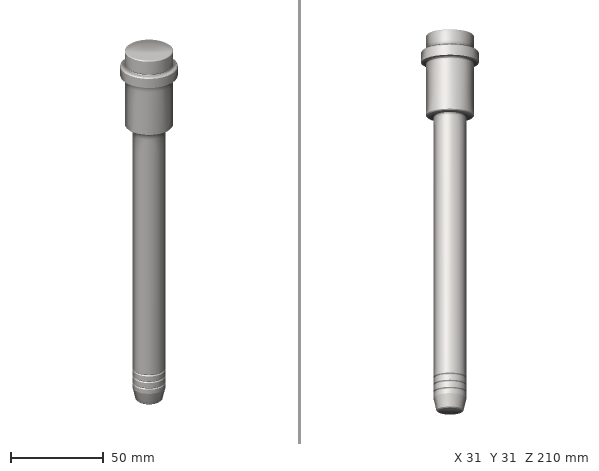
import cadquery as cq
import math

total_length = 210.0
head_diameter = 26.0
flange_diameter = 31.0
shaft_diameter = 18.0

flange_top_depth = 9.0
flange_thickness = 6.0
collar_bottom_depth = 45.0

head_chamfer = 0.4
flange_chamfer = 0.5
collar_chamfer = 0.5

relief_width = 1.0
relief_depth = 0.5

ring_count = 3
ring_pitch = 4.0
ring_width = 1.0
ring_depth = 0.5
lowest_ring_height = 10.0

tip_length = 7.5
tip_angle = 13.5
tip_chamfer = 0.5

flange_top = total_length - flange_top_depth
flange_bottom = flange_top - flange_thickness
collar_bottom = total_length - collar_bottom_depth


def cylinder(diameter, bottom, top):
    """Solid cylinder on the Z axis between two heights."""
    return cq.Workplane("XY").workplane(offset=bottom).circle(diameter / 2).extrude(top - bottom)


def square_groove(diameter, depth, bottom, width):
    """Ring-shaped cutter for a flat-bottomed groove in a cylinder surface."""
    core = cylinder(diameter - 2 * depth, bottom, bottom + width)
    return cylinder(diameter, bottom, bottom + width).cut(core)


def vee_groove(diameter, depth, bottom, width):
    """Ring-shaped cutter for a V-shaped groove in a cylinder surface."""
    radius = diameter / 2
    return (
        cq.Workplane("XZ")
        .moveTo(radius, bottom)
        .lineTo(radius - depth, bottom + width / 2)
        .lineTo(radius, bottom + width)
        .close()
        .revolve(360, (0, 0), (0, 1))
    )


def make_tip():
    """Cone narrowing toward the bottom face, with a chamfered end."""
    end_radius = shaft_diameter / 2 - tip_length * math.tan(math.radians(tip_angle))
    cone = (
        cq.Workplane("XY")
        .circle(end_radius)
        .workplane(offset=tip_length)
        .circle(shaft_diameter / 2)
        .loft()
    )
    return cone.faces("<Z").chamfer(tip_chamfer)


def make_shaft():
    """Long pin with a relief below the collar and ring grooves above the tip."""
    shaft = cylinder(shaft_diameter, tip_length, collar_bottom)
    shaft = shaft.cut(square_groove(shaft_diameter, relief_depth, collar_bottom - relief_width, relief_width))
    for index in range(ring_count):
        ring_bottom = lowest_ring_height + index * ring_pitch
        shaft = shaft.cut(vee_groove(shaft_diameter, ring_depth, ring_bottom, ring_width))
    return shaft


def make_collar():
    """Head and collar in one diameter, with reliefs on both sides of the flange."""
    collar = cylinder(head_diameter, collar_bottom, total_length)
    collar = collar.faces(">Z").chamfer(head_chamfer).faces("<Z").chamfer(collar_chamfer)
    for bottom in (flange_top, flange_bottom - relief_width):
        collar = collar.cut(vee_groove(head_diameter, relief_depth, bottom, relief_width))
    return collar


def make_flange():
    """Wide ring with its upper rim chamfered."""
    return cylinder(flange_diameter, flange_bottom, flange_top).faces(">Z").chamfer(flange_chamfer)


result = make_shaft().union(make_tip()).union(make_collar()).union(make_flange())